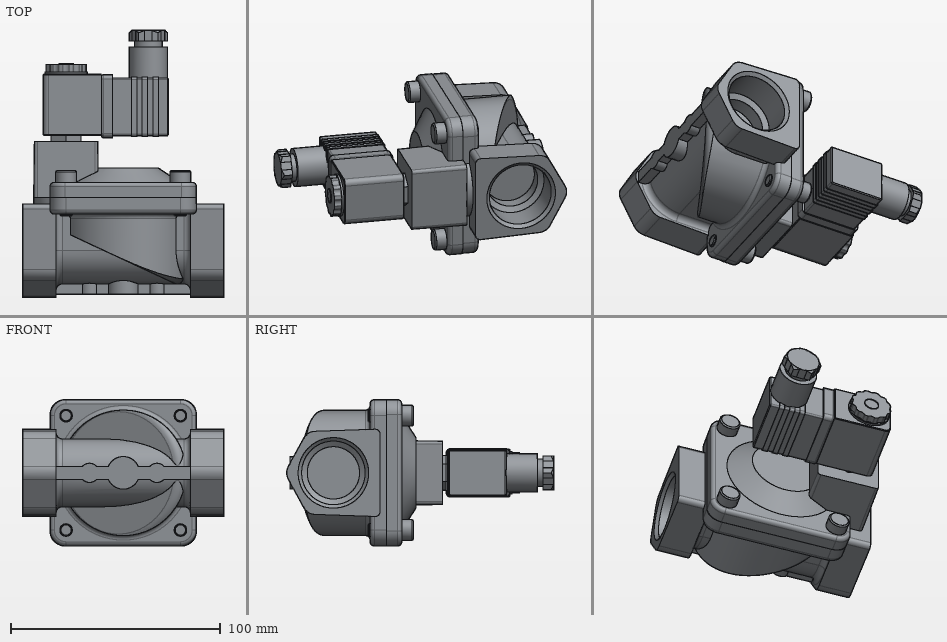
import cadquery as cq
import math


HEX_SIDES = 6
HEX_TO_CORNERS = 1 / math.cos(math.pi / HEX_SIDES)
SELECTION_MARGIN = 0.1

BODY_LENGTH = 96.0
PORT_LENGTH = 16.0
PORT_INNER_X = BODY_LENGTH / 2 - PORT_LENGTH
PORT_TOP_Y = 22.3
PORT_TOP_HALF_WIDTH = 20.9
PORT_SIDE_DRAFT = 2.0
PORT_KEEL_ANGLE = 28.5
PORT_KEEL_SHARP_Y = -23.2
PORT_TOP_RADIUS = 2.4
PORT_CORNER_RADIUS = 6.4
PORT_KEEL_RADIUS = 6.5
BORE_DIAMETER = 30.3
BORE_MOUTH_DIAMETER = 33.6
BORE_DEPTH = 16.8
DRILL_POINT_HALF_ANGLE = 59.0
PASSAGE_DIAMETER = 25.0
PASSAGE_DEPTH = 25.5

FLANGE_SIZE = 69.8
FLANGE_BOTTOM_Y = 17.5
PARTING_Y = 25.3
COVER_TOP_Y = 32.6
FLANGE_EDGE_RADIUS = 2.0
BODY_CORNER_RADIUS = 7.6
COVER_CORNER_RADIUS = 7.1
TUBE_RADIUS = 16.2
TUBE_FLARE_RADIUS = 2.9
BOWL_RADIUS = 29.9
BOWL_FLARE_RADIUS = 2.2
BOWL_FACE_ANGLE = 25.0
BOWL_FACE_Y = -4.2
BOWL_FACE_RADIUS = 29.2
BOWL_FACE_SHIFT = 2.5
BOWL_FACE_EDGE_RADIUS = 4.5
WEB_THICKNESS = 6.2
WEB_BOTTOM_Y = -20.8
WEB_BOSS_DIAMETER = 15.5
WEB_PAD_DIAMETER = 9.2
WEB_PAD_X = 16.0

SCREW_OFFSET = FLANGE_SIZE / 2 - BODY_CORNER_RADIUS
SCREW_SHANK_DIAMETER = 6.0
SCREW_TIP_Y = 16.5
SCREW_TIP_CHAMFER = 0.5
SCREW_HEAD_DIAMETER = 10.0
SCREW_HEAD_TOP_Y = 38.2
SCREW_HEAD_CHAMFER = 0.6

DOME_BASE_RADIUS = 27.3
DOME_TOP_RADIUS = 16.7
DOME_TOP_Y = 39.5
PILOT_X = -27.3
PILOT_TOP_Y = 52.1
PILOT_BASE_SIZE = 31.0
PILOT_DRAFT = 0.7
PILOT_CORNER_RADIUS = 1.8

HEX_COLLAR_FLATS = 14.4
HEX_COLLAR_TURN = 30
COIL_BOTTOM_Y = 54.9
COIL_TOP_Y = 84.2
COIL_MIN_X = -38.2
COIL_MAX_X = -10.3
COIL_WIDTH = 22.8
COIL_CORNER_RADIUS = 2.7
COIL_RIM_CHAMFER = 0.4
GASKET_WIDTH = 23.2
GASKET_MAX_X = -5.1
GASKET_BOTTOM_Y = 53.7
GASKET_TOP_Y = 83.9
GASKET_CORNER_RADIUS = 2.2
GASKET_EDGE_RADIUS = 0.9
PLUG_MAX_X = 21.5
PLUG_BOTTOM_Y = 54.8
PLUG_TOP_Y = 82.4
PLUG_WIDTH = 21.9
PLUG_CORNER_RADIUS = 0.8
PLUG_END_CHAMFER = 0.5
RIB_START_X = 4.0
RIB_WIDTH = 2.5
RIB_PITCH = 5.1
RIB_COUNT = 3
RIB_HEIGHT = 0.4

GLAND_X = 12.0
GLAND_DIAMETER = 18.3
GLAND_ROOT_DEPTH = 1.3
GLAND_TOP_Y = 97.2
GLAND_NECK_DIAMETER = 13.2
GLAND_NUT_BOTTOM_Y = 99.8
GLAND_NUT_TOP_Y = 105.0
GLAND_NUT_CHAMFER = 1.3
NUT_PAD_WIDTH = 3.7
NUT_PAD_HEIGHT = 0.1

KNOB_BASE_DIAMETER = 20.2
KNOB_DIAMETER = 19.6
KNOB_BOTTOM_Y = 85.2
KNOB_TOP_Y = 88.8
KNOB_BUTTON_DIAMETER = 6.9
KNOB_BUTTON_TOP_Y = 89.1
SCALLOP_COUNT = 12
SCALLOP_DIAMETER = 5.0
SCALLOP_CIRCLE_RADIUS = 11.6
KNOB_TOOTH_RADIUS = 0.4


def tangent(angle):
    return math.tan(math.radians(angle))


def plan_at(y, x=0, z=0):
    """Workplane at the given point whose local axes are X and Z and whose normal is -Y."""
    return cq.Workplane("XZ", origin=(x, y, z))


def cylinder(diameter, y_low, y_high, x=0, z=0):
    return plan_at(y_high, x, z).circle(diameter / 2).extrude(y_high - y_low)


def box(x_low, x_high, y_low, y_high, width):
    """Box centred on Z = 0."""
    centre = ((x_low + x_high) / 2, (y_low + y_high) / 2, 0)
    return cq.Workplane("XY").box(x_high - x_low, y_high - y_low, width).translate(centre)


def screw_places():
    return [(sx * SCREW_OFFSET, sz * SCREW_OFFSET) for sx in (-1, 1) for sz in (-1, 1)]


def port_block():
    """Five-sided block at the -X end, with a keel pointing to -Y."""
    keel_slope = tangent(PORT_KEEL_ANGLE)
    side_slope = tangent(PORT_SIDE_DRAFT)
    keel_half_width = PORT_TOP_HALF_WIDTH - side_slope * (PORT_TOP_Y - PORT_KEEL_SHARP_Y)
    corner_z = keel_half_width / (1 - side_slope * keel_slope)
    corner_y = PORT_KEEL_SHARP_Y + corner_z * keel_slope
    outline = [
        (PORT_TOP_Y, -PORT_TOP_HALF_WIDTH),
        (corner_y, -corner_z),
        (PORT_KEEL_SHARP_Y, 0),
        (corner_y, corner_z),
        (PORT_TOP_Y, PORT_TOP_HALF_WIDTH),
    ]
    end_plane = cq.Workplane("YZ", origin=(-BODY_LENGTH / 2, 0, 0))
    block = end_plane.polyline(outline).close().extrude(PORT_LENGTH)
    block = block.edges("|X and >Y").fillet(PORT_TOP_RADIUS)
    block = block.edges("|X and <Y").fillet(PORT_KEEL_RADIUS)
    corners = cq.selectors.BoxSelector(
        (-BODY_LENGTH, corner_y - SELECTION_MARGIN, -BODY_LENGTH),
        (BODY_LENGTH, corner_y + SELECTION_MARGIN, BODY_LENGTH),
    )
    return block.edges("|X").edges(corners).fillet(PORT_CORNER_RADIUS)


def port_bore():
    """Stepped blind bore of the -X port, as the tool that cuts it."""
    mouth_x = -BODY_LENGTH / 2
    bore_r = BORE_DIAMETER / 2
    mouth_r = BORE_MOUTH_DIAMETER / 2
    passage_r = PASSAGE_DIAMETER / 2
    cone_length = (bore_r - passage_r) / tangent(DRILL_POINT_HALF_ANGLE)
    return (
        cq.Workplane("XY")
        .moveTo(mouth_x, 0)
        .lineTo(mouth_x, mouth_r)
        .lineTo(mouth_x + mouth_r - bore_r, bore_r)
        .lineTo(mouth_x + BORE_DEPTH, bore_r)
        .lineTo(mouth_x + BORE_DEPTH + cone_length, passage_r)
        .lineTo(mouth_x + PASSAGE_DEPTH, passage_r)
        .lineTo(mouth_x + PASSAGE_DEPTH, 0)
        .close()
        .revolve(360, (0, 0, 0), (1, 0, 0))
    )


def tube():
    """Flow passage wall: a half-round trough with straight sides up to the flange."""
    top_y = FLANGE_BOTTOM_Y + FLANGE_EDGE_RADIUS
    return (
        cq.Workplane("YZ", origin=(-PORT_INNER_X, 0, 0))
        .moveTo(top_y, -TUBE_RADIUS)
        .lineTo(0, -TUBE_RADIUS)
        .threePointArc((-TUBE_RADIUS, 0), (0, TUBE_RADIUS))
        .lineTo(top_y, TUBE_RADIUS)
        .close()
        .extrude(2 * PORT_INNER_X)
    )


def bowl():
    """Round bowl under the flange, ending in a round-edged flat face that falls towards +X."""
    reach = 2 * BOWL_RADIUS
    rounding = BOWL_FACE_EDGE_RADIUS
    mid = rounding * math.sqrt(0.5)
    space = (
        cq.Workplane("XY")
        .lineTo(BOWL_FACE_RADIUS, 0)
        .threePointArc(
            (BOWL_FACE_RADIUS + mid, rounding - mid),
            (BOWL_FACE_RADIUS + rounding, rounding),
        )
        .lineTo(reach, rounding)
        .lineTo(reach, reach)
        .lineTo(0, reach)
        .close()
        .revolve(360, (0, 0, 0), (0, 1, 0))
        .translate((-BOWL_FACE_SHIFT, 0, 0))
        .rotate((0, 0, 0), (0, 0, 1), -BOWL_FACE_ANGLE)
        .translate((0, BOWL_FACE_Y, 0))
    )
    return cylinder(2 * BOWL_RADIUS, -BOWL_RADIUS, FLANGE_BOTTOM_Y).intersect(space)


def bowl_flare():
    """Concave ring that blends the bowl into the flange."""
    outer_r = BOWL_RADIUS + BOWL_FLARE_RADIUS
    low_y = FLANGE_BOTTOM_Y - BOWL_FLARE_RADIUS
    mid = BOWL_FLARE_RADIUS * math.sqrt(0.5)
    return (
        cq.Workplane("XY")
        .moveTo(0, FLANGE_BOTTOM_Y)
        .lineTo(outer_r, FLANGE_BOTTOM_Y)
        .threePointArc((outer_r - mid, low_y + mid), (BOWL_RADIUS, low_y))
        .lineTo(0, low_y)
        .close()
        .revolve(360, (0, 0, 0), (0, 1, 0))
    )


def web():
    """Flat rib along the keel with a round boss and two round pads."""
    rib = box(-PORT_INNER_X, PORT_INNER_X, WEB_BOTTOM_Y, 0, WEB_THICKNESS)
    rib = rib.union(cylinder(WEB_BOSS_DIAMETER, WEB_BOTTOM_Y, 0))
    for x in (-WEB_PAD_X, WEB_PAD_X):
        rib = rib.union(cylinder(WEB_PAD_DIAMETER, WEB_BOTTOM_Y, 0, x))
    return rib


def rounded_plate(y_low, y_high, corner_radius):
    plate = box(-FLANGE_SIZE / 2, FLANGE_SIZE / 2, y_low, y_high, FLANGE_SIZE)
    return plate.edges("|Y").fillet(corner_radius)


def valve_body():
    """Two ports, the passage and bowl between them, and the square flange with its pilot lug."""
    ports = port_block()
    ports = ports.union(ports.mirror("YZ"))
    body = ports.union(tube())
    reach_x = PORT_INNER_X + SELECTION_MARGIN
    reach_r = TUBE_RADIUS + SELECTION_MARGIN
    tube_region = cq.selectors.BoxSelector(
        (-reach_x, -reach_r, -reach_r),
        (reach_x, FLANGE_BOTTOM_Y, reach_r),
    )
    body = body.edges(tube_region).edges("not |X").fillet(TUBE_FLARE_RADIUS)
    flange = rounded_plate(FLANGE_BOTTOM_Y, PARTING_Y, BODY_CORNER_RADIUS)
    flange = flange.faces("<Y").edges().fillet(FLANGE_EDGE_RADIUS)
    lug = cylinder(PILOT_BASE_SIZE, FLANGE_BOTTOM_Y, PARTING_Y, PILOT_X)
    for part in (flange, bowl(), bowl_flare(), web(), lug):
        body = body.union(part)
    bore = port_bore()
    body = body.cut(bore).cut(bore.mirror("YZ"))
    for x, z in screw_places():
        body = body.cut(cylinder(SCREW_SHANK_DIAMETER, FLANGE_BOTTOM_Y, PARTING_Y, x, z))
    return body


def screw(x, z):
    shank = cylinder(SCREW_SHANK_DIAMETER, SCREW_TIP_Y, COVER_TOP_Y, x, z)
    head = cylinder(SCREW_HEAD_DIAMETER, COVER_TOP_Y, SCREW_HEAD_TOP_Y, x, z)
    shank = shank.faces("<Y").chamfer(SCREW_TIP_CHAMFER)
    head = head.faces(">Y").chamfer(SCREW_HEAD_CHAMFER)
    return shank.union(head)


def dome():
    return (
        cq.Workplane("XY")
        .moveTo(0, COVER_TOP_Y)
        .lineTo(DOME_BASE_RADIUS, COVER_TOP_Y)
        .lineTo(DOME_TOP_RADIUS, DOME_TOP_Y)
        .lineTo(0, DOME_TOP_Y)
        .close()
        .revolve(360, (0, 0, 0), (0, 1, 0))
    )


def pilot_block():
    """Square block that tapers slightly towards the coil."""
    return (
        plan_at(PARTING_Y, PILOT_X)
        .sketch()
        .rect(PILOT_BASE_SIZE, PILOT_BASE_SIZE)
        .vertices()
        .fillet(PILOT_CORNER_RADIUS)
        .finalize()
        .extrude(PARTING_Y - PILOT_TOP_Y, taper=PILOT_DRAFT)
    )


def cover():
    """Square cover plate with its dome, pilot block and four screws."""
    plate = rounded_plate(PARTING_Y, COVER_TOP_Y, COVER_CORNER_RADIUS)
    solid = plate.faces(">Y").edges().fillet(FLANGE_EDGE_RADIUS)
    solid = solid.union(dome()).union(pilot_block())
    for x, z in screw_places():
        solid = solid.union(screw(x, z))
    return solid


def hexagon(flats, y_low, y_high, x=0, turn=0):
    """Prism about Y whose corners point along X, turned by `turn` degrees."""
    prism = plan_at(y_high).polygon(HEX_SIDES, flats * HEX_TO_CORNERS).extrude(y_high - y_low)
    return prism.rotate((0, 0, 0), (0, 1, 0), turn).translate((x, 0, 0))


def coil_box():
    """Coil housing, rounded on the -X side."""
    block = box(COIL_MIN_X, COIL_MAX_X, COIL_BOTTOM_Y, COIL_TOP_Y, COIL_WIDTH)
    block = block.edges("|Y and <X").fillet(COIL_CORNER_RADIUS)
    return block.faces("<Y or >Y").edges().chamfer(COIL_RIM_CHAMFER)


def gasket():
    """Flat plate between the coil and the connector."""
    plate = box(COIL_MAX_X, GASKET_MAX_X, GASKET_BOTTOM_Y, GASKET_TOP_Y, GASKET_WIDTH)
    plate = plate.edges("|X").fillet(GASKET_CORNER_RADIUS)
    return plate.faces("<X").edges().fillet(GASKET_EDGE_RADIUS)


def plug():
    """Connector housing with raised bands around it."""
    housing = box(GASKET_MAX_X, PLUG_MAX_X, PLUG_BOTTOM_Y, PLUG_TOP_Y, PLUG_WIDTH)
    housing = housing.edges("|X").fillet(PLUG_CORNER_RADIUS)
    housing = housing.faces(">X").edges().chamfer(PLUG_END_CHAMFER)
    for i in range(RIB_COUNT):
        start = RIB_START_X + i * RIB_PITCH
        band = box(
            start,
            start + RIB_WIDTH,
            PLUG_BOTTOM_Y - RIB_HEIGHT,
            PLUG_TOP_Y + RIB_HEIGHT,
            PLUG_WIDTH + 2 * RIB_HEIGHT,
        )
        housing = housing.union(band.edges("|X").fillet(PLUG_CORNER_RADIUS + RIB_HEIGHT))
    return housing


def gland_nut():
    """Hexagon nut with chamfered corners and a shallow raised pad down each face."""
    flats = GLAND_DIAMETER / HEX_TO_CORNERS
    nut = hexagon(flats, GLAND_NUT_BOTTOM_Y, GLAND_NUT_TOP_Y)
    crown = cylinder(GLAND_DIAMETER, GLAND_NUT_BOTTOM_Y, GLAND_NUT_TOP_Y)
    nut = nut.intersect(crown.faces(">Y").chamfer(GLAND_NUT_CHAMFER))
    half_width = NUT_PAD_WIDTH / 2
    pad = box(-half_width, half_width, GLAND_NUT_BOTTOM_Y, GLAND_NUT_TOP_Y, 2 * NUT_PAD_HEIGHT)
    pad = pad.translate((0, 0, flats / 2))
    for i in range(HEX_SIDES):
        nut = nut.union(pad.rotate((0, 0, 0), (0, 1, 0), 360 / HEX_SIDES * i))
    return nut.translate((GLAND_X, 0, 0))


def gland():
    """Cable outlet standing on the connector, rooted a little below its top face."""
    sleeve = cylinder(GLAND_DIAMETER, PLUG_TOP_Y - GLAND_ROOT_DEPTH, GLAND_TOP_Y, GLAND_X)
    neck = cylinder(GLAND_NECK_DIAMETER, GLAND_TOP_Y, GLAND_NUT_BOTTOM_Y, GLAND_X)
    return sleeve.union(neck).union(gland_nut())


def knob():
    """Scalloped retaining nut on top of the coil."""
    grip = cylinder(KNOB_DIAMETER, KNOB_BOTTOM_Y, KNOB_TOP_Y)
    for i in range(SCALLOP_COUNT):
        angle = 2 * math.pi * i / SCALLOP_COUNT
        x = SCALLOP_CIRCLE_RADIUS * math.cos(angle)
        z = SCALLOP_CIRCLE_RADIUS * math.sin(angle)
        grip = grip.cut(cylinder(SCALLOP_DIAMETER, KNOB_BOTTOM_Y, KNOB_TOP_Y, x, z))
    grip = grip.edges("|Y").fillet(KNOB_TOOTH_RADIUS)
    grip = grip.union(cylinder(KNOB_BASE_DIAMETER, COIL_TOP_Y, KNOB_BOTTOM_Y))
    grip = grip.union(cylinder(KNOB_BUTTON_DIAMETER, KNOB_TOP_Y, KNOB_BUTTON_TOP_Y))
    return grip.translate((PILOT_X, 0, 0))


def coil():
    """Coil box, hexagon collar below it, connector, cable gland and retaining knob."""
    collar = hexagon(HEX_COLLAR_FLATS, PILOT_TOP_Y, COIL_BOTTOM_Y, PILOT_X, HEX_COLLAR_TURN)
    solid = coil_box()
    for part in (collar, gasket(), plug(), gland(), knob()):
        solid = solid.union(part)
    return solid


result = cq.Compound.makeCompound([valve_body().val(), cover().val(), coil().val()])